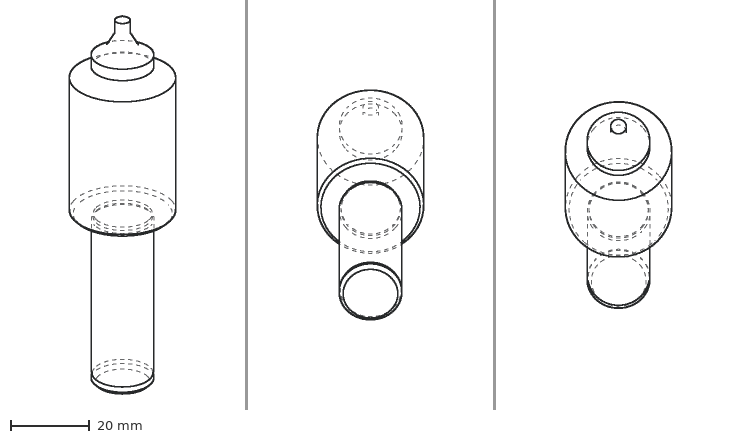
import cadquery as cq
import math

total_length = 104.4
body_radius = 27.0 / 2
shank_radius = 16.0 / 2
tip_radius = 2.0

body_bottom = 48.0
body_top = 86.9
collar_top = 93.3
tip_bottom = 99.5

slope = math.tan(math.radians(30))

body_chamfer = 0.9
end_chamfer = 1.0
neck_radius = 7.5
neck_length = 0.9
neck_taper = 0.6
groove_radius = 7.7
groove_bottom = 1.5
groove_middle = 2.4
groove_top = 3.3
nose_blend_radius = 0.6

collar_bottom = body_top + (body_radius - shank_radius) * slope
tip_top = total_length - tip_radius * slope
neck_bottom = body_bottom - neck_length

nose_height = (
    (tip_radius + (tip_bottom - collar_top) / slope - shank_radius) / (1 / slope - slope)
)
nose_bottom = tip_bottom - nose_height
nose_bottom_radius = tip_radius + nose_height * slope

half_section = (
    cq.Workplane("XZ")
    .lineTo(shank_radius - end_chamfer, 0)
    .lineTo(shank_radius, end_chamfer)
    .lineTo(shank_radius, groove_bottom)
    .lineTo(groove_radius, groove_middle)
    .lineTo(shank_radius, groove_top)
    .lineTo(shank_radius, neck_bottom - neck_taper)
    .lineTo(neck_radius, neck_bottom)
    .lineTo(neck_radius, body_bottom)
    .lineTo(body_radius - body_chamfer, body_bottom)
    .lineTo(body_radius, body_bottom + body_chamfer)
    .lineTo(body_radius, body_top)
    .lineTo(shank_radius, collar_bottom)
    .lineTo(shank_radius, collar_top)
    .lineTo(nose_bottom_radius, nose_bottom)
    .lineTo(tip_radius, tip_bottom)
    .lineTo(tip_radius, tip_top)
    .lineTo(0, total_length)
    .close()
)
turned = half_section.revolve(360, (0, 0), (0, 1))

edge_margin = 0.1
nose_edges = cq.selectors.BoxSelector(
    (-body_radius, -body_radius, nose_bottom - edge_margin),
    (body_radius, body_radius, tip_bottom + edge_margin),
    boundingbox=True,
)
result = turned.edges(nose_edges).edges("%CIRCLE").fillet(nose_blend_radius)